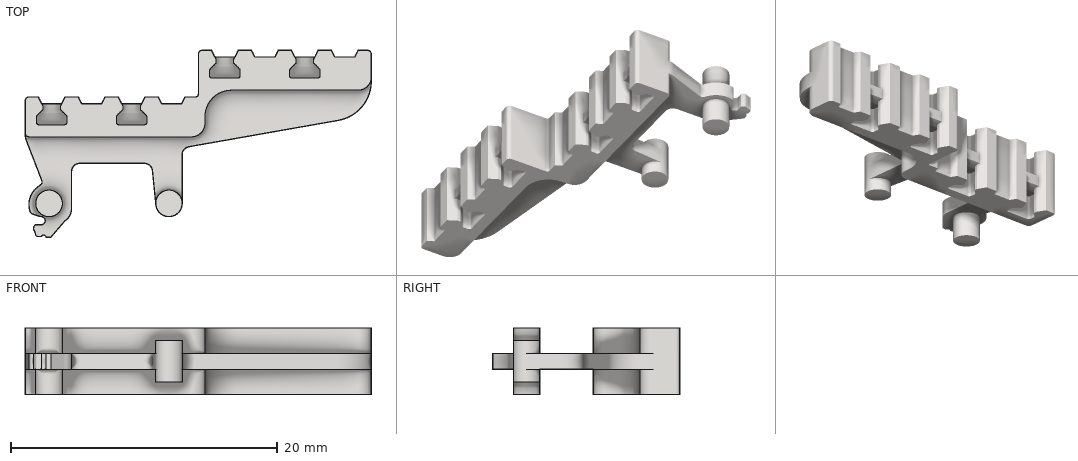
import cadquery as cq
import math

rail_width = 5.0
step_length = 13.0
rail_length = 2 * step_length
step_rise = 3.5
rail_depth = 3.0
lower_top = 8.0
upper_top = lower_top + step_rise
lower_bottom = lower_top - rail_depth
upper_bottom = upper_top - rail_depth
inner_step_x = step_length + 0.5

rail_corner_radius = 0.3
step_corner_radius = 0.2
inner_convex_radius = 1.0
inner_concave_radius = 2.0

groove_pitch = 3.0
first_groove_x = 2.0
grooves_per_step = 4
groove_width = 2.0
groove_floor_width = 1.5
groove_depth = 0.5
pocket_neck_width = 1.3
pocket_neck_top = 0.7
pocket_neck_bottom = 0.95
pocket_width = 2.3
pocket_depth = 2.1
pocket_corner_radius = 0.2
ramp_start = 1.25
ramp_drop = 0.2
pocket_floor_z = 0.6

plate_thickness = 1.2
pin_diameter = 2.0
pin_radius = pin_diameter / 2
hook_pin_x = 1.8
pin_spacing = 9.0
arm_pin_x = hook_pin_x + pin_spacing
hook_pin_length = rail_width
arm_pin_length = 3.1
plate_overlap = 1.0
plate_left_end = 4.95
left_corner_radius = 1.0
hook_radius = 1.5
hook_neck = (1.32, 1.53)
hook_neck_radius = 0.25
hook_start_angle = 125
hook_middle_angle = 165
hook_inner_x = 3.5

hook_round_end = (0.336, -0.5)
hook_chin_middle = (0.44, -0.72)
hook_chin_end = (0.6, -0.82)
catch_upper_start = (1.15, -1.0)
catch_bottom = (1.5, -1.3)
catch_lower_start = (1.25, -1.6)
tip_top = (0.8, -1.6)
tip_left = (0.63, -1.83)
tip_left_end = (0.69, -2.06)
tip_corner_center = (1.0, -2.27)
tip_corner_radius = 0.23
hook_bottom = -2.55
nick_start = (1.22, -2.5)
nick_middle = (1.4, -2.38)
nick_end = (1.57, hook_bottom)
tip_bottom_right = (1.93, hook_bottom)
back_slope_middle = (2.66, -1.7)
back_slope_end = (2.98, -1.33)
hook_bend_middle = (3.39, -0.85)
hook_bend_end_y = -0.3

arch_right_x = 9.5
arch_top = 3.0
arch_radius = 0.6
arm_right_x = arm_pin_x + pin_radius
arm_corner_radius = 0.6
underside_angle = 10.0
underside_start_y = 4.16
nose_radius = 3.0
nose_middle_angle = -40

corner_reach = 0.02


def arc_point(center, radius, degrees):
    angle = math.radians(degrees)
    return (center[0] + radius * math.cos(angle), center[1] + radius * math.sin(angle))


def extrude_centered(sketch, thickness):
    return sketch.extrude(thickness / 2, both=True)


def round_corner(body, x, y, radius):
    """Round the vertical edge that stands at (x, y)."""
    low_corner = (x - corner_reach, y - corner_reach, -rail_width)
    high_corner = (x + corner_reach, y + corner_reach, rail_width)
    picker = cq.selectors.BoxSelector(low_corner, high_corner)
    return body.edges("|Z").edges(picker).fillet(radius)


def make_rail():
    corners = [
        (0, lower_bottom, rail_corner_radius),
        (inner_step_x, lower_bottom, inner_convex_radius),
        (inner_step_x, upper_bottom, inner_concave_radius),
        (rail_length, upper_bottom, inner_convex_radius),
        (rail_length, upper_top, rail_corner_radius),
        (step_length, upper_top, rail_corner_radius),
        (step_length, lower_top, step_corner_radius),
        (0, lower_top, rail_corner_radius),
    ]
    outline = [(x, y) for x, y, _ in corners]
    rail = extrude_centered(cq.Workplane("XY").polyline(outline).close(), rail_width)
    for x, y, radius in corners:
        rail = round_corner(rail, x, y, radius)
    return rail


def make_groove(center_x, top_y):
    half_top = groove_width / 2
    half_floor = groove_floor_width / 2
    floor_y = top_y - groove_depth
    outline = [
        (center_x - half_top, top_y),
        (center_x - half_floor, floor_y),
        (center_x + half_floor, floor_y),
        (center_x + half_top, top_y),
    ]
    return extrude_centered(cq.Workplane("XY").polyline(outline).close(), rail_width)


def make_pocket(center_x, top_y):
    """T-shaped pocket open to the top face and the groove, with a ramp running out through its neck."""
    half_groove = groove_floor_width / 2
    half_neck = pocket_neck_width / 2
    half_pocket = pocket_width / 2
    mouth_y = top_y - groove_depth
    shoulder_y = top_y - pocket_neck_bottom - (half_pocket - half_neck)
    floor_y = top_y - pocket_depth
    half_outline = [
        (half_groove, mouth_y),
        (half_neck, top_y - pocket_neck_top),
        (half_neck, top_y - pocket_neck_bottom),
        (half_pocket, shoulder_y),
        (half_pocket, floor_y),
    ]
    right_side = [(center_x + x, y) for x, y in half_outline]
    left_side = [(center_x - x, y) for x, y in reversed(half_outline)]
    ramp_end_z = pocket_floor_z - ramp_drop
    column = (
        cq.Workplane("XY")
        .workplane(offset=ramp_end_z)
        .polyline(right_side + left_side)
        .close()
        .extrude(rail_width / 2 - ramp_end_z)
    )
    for x, y in right_side[-2:] + left_side[:2]:
        column = round_corner(column, x, y, pocket_corner_radius)
    profile = [
        (floor_y, pocket_floor_z),
        (top_y - ramp_start, pocket_floor_z),
        (mouth_y, ramp_end_z),
        (mouth_y, rail_width / 2),
        (floor_y, rail_width / 2),
    ]
    ramp = (
        cq.Workplane("YZ")
        .workplane(offset=center_x - half_pocket)
        .polyline(profile)
        .close()
        .extrude(pocket_width)
    )
    return column.intersect(ramp)


def make_plate():
    hook_center = (hook_pin_x, 0)
    slope = math.tan(math.radians(underside_angle))
    nose_x = rail_length - nose_radius
    slope_end_x = nose_x + nose_radius * math.sin(math.radians(underside_angle))
    slope_end_y = underside_start_y + slope * (slope_end_x - arm_right_x)
    nose_y = slope_end_y + nose_radius * math.cos(math.radians(underside_angle))
    nose_center = (nose_x, nose_y)
    sketch = (
        cq.Workplane("XY")
        .moveTo(0, lower_bottom + rail_corner_radius)
        .lineTo(0, plate_left_end)
        .lineTo(*hook_neck)
        .lineTo(*arc_point(hook_center, hook_radius, hook_start_angle))
        .threePointArc(arc_point(hook_center, hook_radius, hook_middle_angle), hook_round_end)
        .threePointArc(hook_chin_middle, hook_chin_end)
        .lineTo(*catch_upper_start)
        .threePointArc(catch_bottom, catch_lower_start)
        .lineTo(*tip_top)
        .threePointArc(tip_left, tip_left_end)
        .lineTo(*arc_point(tip_corner_center, tip_corner_radius, 180))
        .threePointArc(
            arc_point(tip_corner_center, tip_corner_radius, 225),
            arc_point(tip_corner_center, tip_corner_radius, 270),
        )
        .lineTo(*nick_start)
        .threePointArc(nick_middle, nick_end)
        .lineTo(*tip_bottom_right)
        .lineTo(*back_slope_middle)
        .lineTo(*back_slope_end)
        .threePointArc(hook_bend_middle, (hook_inner_x, hook_bend_end_y))
        .lineTo(hook_inner_x, arch_top)
        .lineTo(arch_right_x, arch_top)
        .lineTo(arm_pin_x - pin_radius, 0)
        .lineTo(arm_right_x, 0)
        .lineTo(arm_right_x, underside_start_y)
        .lineTo(slope_end_x, slope_end_y)
        .threePointArc(arc_point(nose_center, nose_radius, nose_middle_angle), (rail_length, nose_y))
        .lineTo(rail_length, upper_bottom + inner_convex_radius)
        .lineTo(inner_step_x, upper_bottom + inner_convex_radius)
        .lineTo(step_length, lower_bottom + plate_overlap)
        .lineTo(plate_overlap, lower_bottom + plate_overlap)
        .close()
    )
    plate = extrude_centered(sketch, plate_thickness)
    rounded = [
        (0, plate_left_end, left_corner_radius),
        (*hook_neck, hook_neck_radius),
        (hook_inner_x, arch_top, arch_radius),
        (arch_right_x, arch_top, arch_radius),
        (arm_right_x, underside_start_y, arm_corner_radius),
    ]
    for x, y, radius in rounded:
        plate = round_corner(plate, x, y, radius)
    return plate


def make_pin(center_x, length):
    base = cq.Plane(origin=(center_x, 0, -length / 2), xDir=(0, 1, 0), normal=(0, 0, 1))
    return cq.Workplane(base).circle(pin_radius).extrude(length)


result = make_rail().union(make_plate())
result = result.union(make_pin(hook_pin_x, hook_pin_length))
result = result.union(make_pin(arm_pin_x, arm_pin_length))
for step_x, step_top in [(0, lower_top), (step_length, upper_top)]:
    for index in range(grooves_per_step):
        groove_x = step_x + first_groove_x + index * groove_pitch
        result = result.cut(make_groove(groove_x, step_top))
        if index % 2 == 0:
            upper_pocket = make_pocket(groove_x, step_top)
            lower_pocket = upper_pocket.mirror("XY")
            result = result.cut(upper_pocket).cut(lower_pocket)